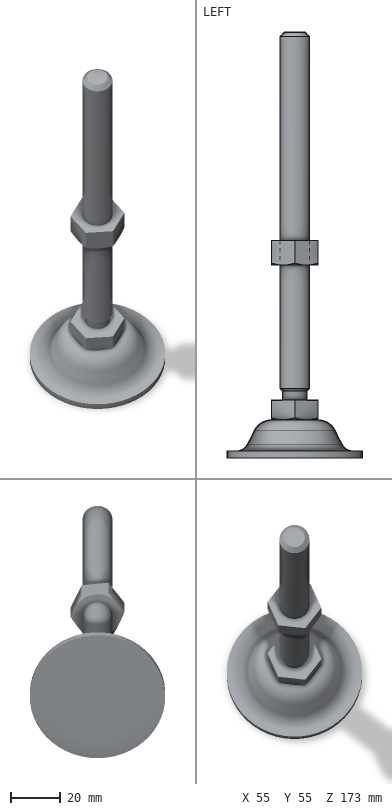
import cadquery as cq
import math


total_height = 173.0

base_radius = 27.5
flange_height = 3.0
base_height = 15.5
dome_foot_radius = 20.6
dome_top_radius = 14.2
dome_foot_fillet = 4.8
dome_top_fillet = 8.0

across_flats = 19.0
hex_corner_radius = across_flats / 2 / math.cos(math.radians(30))
hex_chamfer_angle = 30.0

stud_hex_height = 8.0
rod_radius = 6.0
rod_tip_chamfer = 1.9
rod_bottom = 28.4
neck_radius = 5.0
neck_top_taper = 1.0
neck_bottom_fillet = 0.3
stud_hex_top = base_height + stud_hex_height

nut_bottom = 78.4
nut_height = 10.0


def make_base():
    """Flat flange rising into a rounded conical dome."""
    dome_height = base_height - flange_height
    flank_run = dome_foot_radius - dome_top_radius
    flank_length = math.hypot(flank_run, dome_height)
    flank_out = flank_run / flank_length
    flank_up = dome_height / flank_length
    half_turn = math.atan2(dome_height, flank_run) / 2

    def blend(corner_radius, corner_height, fillet, inward):
        """Start, middle and end of an arc from the level face to the flank.

        inward is +1 for the concave foot and -1 for the convex top.
        """
        tangent = fillet * math.tan(half_turn)
        level = corner_radius + inward * tangent
        flank = (
            corner_radius - inward * tangent * flank_out,
            corner_height + inward * tangent * flank_up,
        )
        middle = (
            level - inward * fillet * math.sin(half_turn),
            corner_height + inward * fillet * (1 - math.cos(half_turn)),
        )
        return (level, corner_height), middle, flank

    foot_level, foot_middle, foot_flank = blend(
        dome_foot_radius, flange_height, dome_foot_fillet, 1
    )
    top_level, top_middle, top_flank = blend(
        dome_top_radius, base_height, dome_top_fillet, -1
    )
    return (
        cq.Workplane("XZ")
        .lineTo(base_radius, 0)
        .lineTo(base_radius, flange_height)
        .lineTo(*foot_level)
        .threePointArc(foot_middle, foot_flank)
        .lineTo(*top_flank)
        .threePointArc(top_middle, top_level)
        .lineTo(0, base_height)
        .close()
        .revolve(360, (0, 0), (0, 1))
    )


def make_hexagon(bottom, height):
    """Hexagonal prism with corners on X and a conical chamfer on its underside."""
    prism = (
        cq.Workplane("XY", origin=(0, 0, bottom))
        .polygon(6, 2 * hex_corner_radius)
        .extrude(height)
    )
    face_radius = across_flats / 2
    cone_radius = face_radius + height / math.tan(math.radians(hex_chamfer_angle))
    chamfer_cone = cq.Workplane(
        cq.Solid.makeCone(face_radius, cone_radius, height, cq.Vector(0, 0, bottom))
    )
    return prism.intersect(chamfer_cone)


def make_stud():
    """Rod, reduced neck and hexagon resting on the dome."""
    shaft = (
        cq.Workplane("XZ")
        .moveTo(0, base_height)
        .lineTo(neck_radius, base_height)
        .lineTo(neck_radius, rod_bottom - neck_top_taper)
        .lineTo(rod_radius, rod_bottom)
        .lineTo(rod_radius, total_height - rod_tip_chamfer)
        .lineTo(rod_radius - rod_tip_chamfer, total_height)
        .lineTo(0, total_height)
        .close()
        .revolve(360, (0, 0), (0, 1))
    )
    stud = make_hexagon(base_height, stud_hex_height).union(shaft)
    neck_root = cq.selectors.BoxSelector(
        (-rod_radius, -rod_radius, stud_hex_top - neck_bottom_fillet),
        (rod_radius, rod_radius, stud_hex_top + neck_bottom_fillet),
    )
    return stud.edges("%CIRCLE").edges(neck_root).fillet(neck_bottom_fillet)


def make_lock_nut():
    """Hexagon nut bored to fit the rod."""
    bore = (
        cq.Workplane("XY", origin=(0, 0, nut_bottom))
        .circle(rod_radius)
        .extrude(nut_height)
    )
    return make_hexagon(nut_bottom, nut_height).cut(bore)


base = make_base()
stud = make_stud()
lock_nut = make_lock_nut()

result = cq.Compound.makeCompound([base.val(), stud.val(), lock_nut.val()])